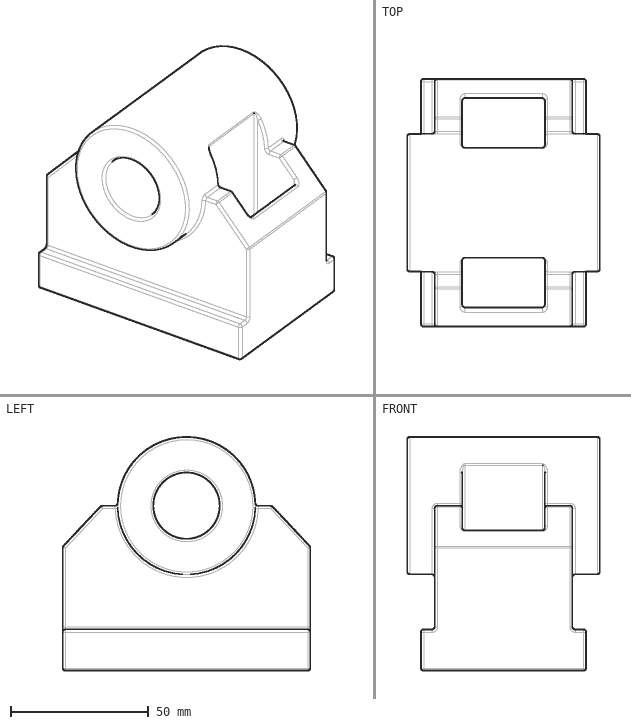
import cadquery as cq

length = 90.0
height = 85.0

barrel_length = 70.0
barrel_diameter = 50.0
bore_diameter = 24.0
axis_height = height - barrel_diameter / 2

foot_width = 60.0
foot_height = 15.0
block_width = 50.0
slope_drop = 14.9
slope_run = 14.0

pocket_width = 30.0
pocket_start = 20.0
end_wall = 7.0
pocket_length = length / 2 - end_wall - pocket_start

edge_radius = 1.0
tolerance = 0.01


def make_foot():
    return cq.Workplane("XY").box(foot_width, length, foot_height, centered=(True, True, False))


def make_block():
    end = length / 2
    shoulder = axis_height - slope_drop
    top_end = end - slope_run
    outline = [
        (-end, 0),
        (end, 0),
        (end, shoulder),
        (top_end, axis_height),
        (-top_end, axis_height),
        (-end, shoulder),
    ]
    return cq.Workplane("YZ").polyline(outline).close().extrude(block_width / 2, both=True)


def make_rod(diameter):
    """Solid rod on the barrel axis; its seam line lies along the crown."""
    end_plane = cq.Plane(origin=(-barrel_length / 2, 0, axis_height), xDir=(0, 0, 1), normal=(1, 0, 0))
    return cq.Workplane(end_plane).circle(diameter / 2).extrude(barrel_length)


def make_pockets():
    offset = pocket_start + pocket_length / 2
    centres = [(0, -offset), (0, offset)]
    return cq.Workplane("XY").pushPoints(centres).rect(pocket_width, pocket_length).extrude(height)


def is_pocket_underside(edge):
    """True for the edges where the pockets open through the underside."""
    centre = edge.Center()
    on_underside = centre.z < tolerance
    inside_rim = abs(centre.x) < foot_width / 2 - tolerance and abs(centre.y) < length / 2 - tolerance
    return on_underside and inside_rim


def is_rod_seam(edge):
    """True for the full-length seam lines of the barrel and the bore."""
    return edge.geomType() == "LINE" and abs(edge.Length() - barrel_length) < tolerance


body = make_foot().union(make_block()).union(make_rod(barrel_diameter))
body = body.cut(make_rod(bore_diameter)).cut(make_pockets())

rounded_edges = [
    edge for edge in body.edges().vals()
    if not is_pocket_underside(edge) and not is_rod_seam(edge)
]
result = body.newObject(rounded_edges).fillet(edge_radius)